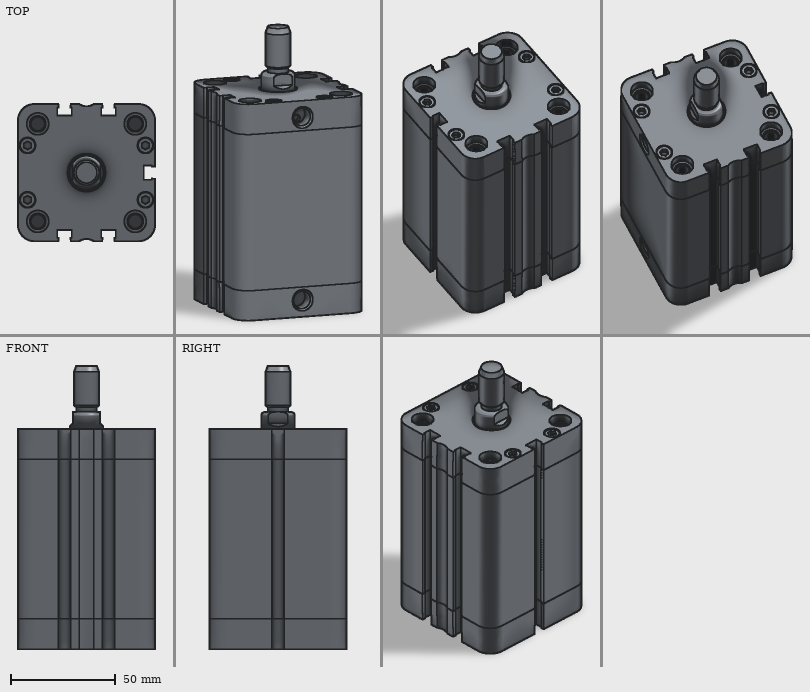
import cadquery as cq
side = 65.5
half_side = side / 2
corner_radius = 8.0
housing_height = 105.0
cap_height = 14.6
barrel_height = housing_height - 2 * cap_height
cap_draft = 0.4

slot_spacing = 20.9
slot_mouth = 5.8
slot_throat = 5.5
slot_inner_width = 6.8
slot_lip = 1.8
slot_depth = 5.4
cap_slot_growth = 0.1
groove_half_width = 3.5
groove_depth = 1.1

mount_offset = 23.2
mount_bore_diameter = 10.5
mount_bore_depth = 4.6
mount_mouth_diameter = 7.7
mount_hole_diameter = 6.6
mount_mouth_depth = (mount_mouth_diameter - mount_hole_diameter) / 2

screw_x = 28.1
screw_y = 13.0
screw_hole_diameter = 7.7
screw_face_diameter = 7.0
screw_sink = 0.3
screw_edge_bevel = (screw_hole_diameter - screw_face_diameter) / 2
hex_across_corners = 4.0
hex_depth = 2.7

port_inset = 8.1
port_diameter = 8.5
port_mouth_diameter = 10.5
port_bevel = (port_mouth_diameter - port_diameter) / 2
port_depth = 8.1
passage_diameter = 3.5
passage_drop = 1.9
passage_depth = 2.7

rod_tip_z = 135.0
rod_diameter = 16.0
rod_bottom_z = housing_height - cap_height
collar_top_z = 113.1
collar_round = 1.9
thread_diameter = 12.0
thread_bottom_z = 116.2
tip_diameter = 10.0
tip_bevel_height = 2.8
undercut_diameter = 10.0
undercut_top_z = 115.3
across_flats = 13.1
flat_half_width = across_flats / 2
flat_bottom_z = 107.6

rod_mouth_diameter = 18.2
rod_recess_diameter = 17.7
rod_mouth_bevel = (rod_mouth_diameter - rod_recess_diameter) / 2
rod_recess_depth = 0.5
rod_gap_diameter = 16.6
rod_gap_depth = 1.4


def slot_cutter(height, growth):
    """T-slot open at Y = 0 and cut toward -Y, centred on X = 0."""
    mouth = slot_mouth / 2 + growth
    throat = slot_throat / 2 + growth
    inner = slot_inner_width / 2 + growth
    floor = slot_depth + growth
    right_side = [(mouth, 0), (throat, -slot_lip), (inner, -slot_lip), (inner, -floor)]
    left_side = [(-x, y) for x, y in reversed(right_side)]
    return cq.Workplane("XY").polyline(right_side + left_side).close().extrude(height)


def groove_cutter(height):
    """Round groove whose chord lies on Y = 0, cut toward -Y."""
    return (
        cq.Workplane("XY")
        .moveTo(-groove_half_width, 0)
        .threePointArc((0, -groove_depth), (groove_half_width, 0))
        .close()
        .extrude(height)
    )


def turned(body, angle):
    return body.rotate((0, 0, 0), (0, 0, 1), angle)


def grooved_block(height):
    """Square block with rounded corners and a groove along each Y face, from Z = 0 up."""
    block = cq.Workplane("XY").rect(side, side).extrude(height).edges("|Z").fillet(corner_radius)
    groove = groove_cutter(height).translate((0, half_side, 0))
    return block.cut(groove).cut(turned(groove, 180))


def cut_slots(block, height, growth=0):
    """Two T-slots on each Y face and one on the +X face."""
    slot = slot_cutter(height, growth).translate((0, half_side, 0))
    for x in (-slot_spacing / 2, slot_spacing / 2):
        face_slot = slot.translate((x, 0, 0))
        block = block.cut(face_slot).cut(turned(face_slot, 180))
    return block.cut(turned(slot, -90))


def port_cutter(z):
    """Air port with a bevelled mouth, bored from the -X face."""
    return (
        cq.Workplane("XZ")
        .moveTo(-half_side, z)
        .lineTo(-half_side, z + port_mouth_diameter / 2)
        .lineTo(-half_side + port_bevel, z + port_diameter / 2)
        .lineTo(-half_side + port_depth, z + port_diameter / 2)
        .lineTo(-half_side + port_depth, z)
        .close()
        .revolve(360, (-half_side, z, 0), (-half_side + 1.4, z, 0))
    )


def passage_cutter(z):
    """Small air hole going on inward from the floor of a port."""
    return (
        cq.Workplane("YZ")
        .center(0, z - passage_drop)
        .circle(passage_diameter / 2)
        .extrude(passage_depth)
        .translate((port_depth - half_side, 0, 0))
    )


def mount_hole_cutter():
    """Counterbored mounting hole through the cap, top face at Z = 0."""
    bore = mount_bore_diameter / 2
    mouth = mount_mouth_diameter / 2
    hole = mount_hole_diameter / 2
    return (
        cq.Workplane("XZ")
        .polyline([
            (0, 0),
            (bore, 0),
            (bore, -mount_bore_depth),
            (mouth, -mount_bore_depth),
            (hole, -mount_bore_depth - mount_mouth_depth),
            (hole, -cap_height),
            (0, -cap_height),
        ])
        .close()
        .revolve(360, (0, 0, 0), (0, 1, 0))
    )


def screw_cutter():
    """Space around and inside a sunk screw head: bevelled rim and hexagon socket."""
    hole = screw_hole_diameter / 2
    face = screw_face_diameter / 2
    rim = (
        cq.Workplane("XZ")
        .polyline([
            (0, 0),
            (hole, 0),
            (hole, -screw_sink - screw_edge_bevel),
            (face, -screw_sink),
            (0, -screw_sink),
        ])
        .close()
        .revolve(360, (0, 0, 0), (0, 1, 0))
    )
    socket = (
        cq.Workplane("XY")
        .polygon(6, hex_across_corners)
        .extrude(-hex_depth)
    )
    return rim.union(turned(socket, 90))


def rod_hole_cutter():
    """Rod bore through the cap with a stepped, bevelled mouth, top face at Z = 0."""
    return (
        cq.Workplane("XZ")
        .polyline([
            (0, 0),
            (rod_mouth_diameter / 2, 0),
            (rod_recess_diameter / 2, -rod_mouth_bevel),
            (rod_recess_diameter / 2, -rod_recess_depth),
            (rod_gap_diameter / 2, -rod_recess_depth),
            (rod_gap_diameter / 2, -rod_gap_depth),
            (rod_diameter / 2, -rod_gap_depth),
            (rod_diameter / 2, -cap_height),
            (0, -cap_height),
        ])
        .close()
        .revolve(360, (0, 0, 0), (0, 1, 0))
    )


def cap_blank():
    """Cap with its full-size joint face on Z = 0, narrowing upward."""
    profile = grooved_block(cap_height).faces("<Z").wires().toPending()
    blank = profile.extrude(cap_height, combine=False, taper=cap_draft)
    return cut_slots(blank, cap_height, cap_slot_growth)


def make_lower_cap():
    blank = cap_blank().mirror("XY").translate((0, 0, cap_height))
    return blank.cut(port_cutter(port_inset))


def make_barrel():
    barrel = cut_slots(grooved_block(barrel_height), barrel_height)
    return barrel.translate((0, 0, cap_height))


def make_upper_cap():
    port_z = housing_height - port_inset
    cap = cap_blank().translate((0, 0, housing_height - cap_height))
    cap = cap.cut(port_cutter(port_z)).cut(passage_cutter(port_z))
    cap = cap.cut(rod_hole_cutter().translate((0, 0, housing_height)))
    for x_sign in (-1, 1):
        for y_sign in (-1, 1):
            mount_place = (x_sign * mount_offset, y_sign * mount_offset, housing_height)
            screw_place = (x_sign * screw_x, y_sign * screw_y, housing_height)
            cap = cap.cut(mount_hole_cutter().translate(mount_place))
            cap = cap.cut(screw_cutter().translate(screw_place))
    return cap


def flat_cutter():
    """Material beyond the +X wrench flat, with a 45 degree run-out at its lower end."""
    reach = rod_diameter / 2 - flat_half_width + 1.4
    return (
        cq.Workplane("XZ")
        .polyline([
            (flat_half_width, collar_top_z),
            (flat_half_width + reach, collar_top_z),
            (flat_half_width + reach, flat_bottom_z - reach),
            (flat_half_width, flat_bottom_z),
        ])
        .close()
        .extrude(rod_diameter / 2, both=True)
    )


def make_rod():
    rod = cq.Workplane("XY").workplane(offset=rod_bottom_z).circle(rod_diameter / 2)
    rod = rod.extrude(collar_top_z - rod_bottom_z).faces(">Z").edges().fillet(collar_round)
    rod = rod.cut(flat_cutter()).cut(turned(flat_cutter(), 180))
    stud = (
        cq.Workplane("XZ")
        .polyline([
            (0, collar_top_z),
            (undercut_diameter / 2, collar_top_z),
            (undercut_diameter / 2, undercut_top_z),
            (thread_diameter / 2, thread_bottom_z),
            (thread_diameter / 2, rod_tip_z - tip_bevel_height),
            (tip_diameter / 2, rod_tip_z),
            (0, rod_tip_z),
        ])
        .close()
        .revolve(360, (0, 0, 0), (0, 1, 0))
    )
    return rod.union(stud)


lower_cap = make_lower_cap()
barrel = make_barrel()
upper_cap = make_upper_cap()
rod = make_rod()

result = cq.Compound.makeCompound([lower_cap.val(), barrel.val(), upper_cap.val(), rod.val()])